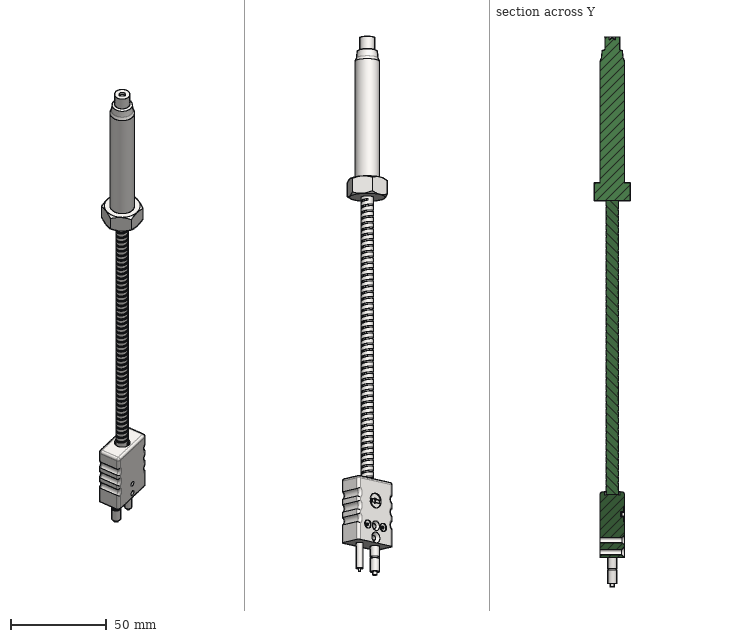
import cadquery as cq
import math

TOTAL_LENGTH = 287.7

TIP_DIA = 8.0
TIP_LENGTH = 6.5
TIP_BORE_DIA = 3.2
TIP_BORE_DEPTH = 1.5
TIP_CONE_HEIGHT = 1.2
COLLAR_TOP_DIA = 10.6
COLLAR_BOTTOM_DIA = 11.5
COLLAR_CHAMFER = 0.5
COLLAR_LENGTH = 3.7
SLEEVE_DIA = 13.0
SLEEVE_SHOULDER = 1.7
NUT_FLATS = 19.0
NUT_CORNERS = NUT_FLATS / math.cos(math.radians(30))
NUT_BOTTOM = 202.0
NUT_HEIGHT = 9.5
NUT_TOP = NUT_BOTTOM + NUT_HEIGHT
NUT_FACE_DIA = 18.7
NUT_CHAMFER = 1.2

PLUG_WIDTH = 25.3
PLUG_THICKNESS = 13.0
PLUG_BOTTOM = 15.2
PLUG_HEIGHT = 34.5
PLUG_TOP = PLUG_BOTTOM + PLUG_HEIGHT
PLUG_FILLET = 1.5
FACE_X = -PLUG_THICKNESS / 2
HOSE_SEAT_DIA = 8.0
HOSE_SEAT_DEPTH = 1.7

GRIP_COUNT = 3
GRIP_PITCH = 7.0
GRIP_FIRST_Z = 40.5
GRIP_HEIGHT = 4.0
GRIP_DEPTH = 1.2

SCREW_Z = 38.0
SCREW_DIA = 7.8
SCREW_RECESS = 0.5
SLOT_WIDTH = 1.7
SLOT_DEPTH = 1.0
SCREW_SOCKET_DIA = 2.5
SCREW_SOCKET_DEPTH = 1.5

HOLE_ROW_Z = 24.5
LOWER_HOLE_Z = 18.0
HOLE_DIA = 2.5
UPPER_SINK_DIA = 5.2
LOWER_SINK_DIA = 5.8
DIMPLE_DIA = 4.3
DIMPLE_DEPTH = 0.5
DIMPLE_CENTER_DIA = 1.5
DIMPLE_CENTER_DEPTH = 1.2

PIN_SPACING = 11.2
PIN_OFFSET = PIN_SPACING / 2
PIN_TIP_LENGTH = 1.7
SMALL_PIN_DIA = 3.7
SMALL_PIN_TIP_DIA = 1.2
LARGE_PIN_DIA = 5.0
LARGE_PIN_TIP_DIA = 2.3
PIN_RING_Z = 9.2
PIN_RING_WIDTH = 1.0
PIN_RING_DEPTH = 0.3

HOSE_DIA = 6.5
HOSE_BOTTOM = PLUG_TOP - HOSE_SEAT_DEPTH
HOSE_LENGTH = NUT_BOTTOM - HOSE_BOTTOM
HOSE_TURNS = 48.4
HOSE_PLAIN_END = 1.7
HOSE_GROOVE_WIDTH = 1.0
HOSE_GROOVE_DEPTH = 0.3


def turned(points):
    """Solid of revolution about Z from (radius, z) points, with its seam on the -X side."""
    outline = [(-radius, z) for radius, z in points]
    return cq.Workplane("XZ").polyline(outline).close().revolve(360, (0, 0), (0, 1))


def make_nut():
    hexagon = (
        cq.Workplane("XY", origin=(0, 0, NUT_BOTTOM))
        .transformed(rotate=(0, 0, 90))
        .polygon(6, NUT_CORNERS)
        .extrude(NUT_HEIGHT)
    )
    envelope = turned([
        (0, NUT_BOTTOM),
        (NUT_FACE_DIA / 2, NUT_BOTTOM),
        (NUT_CORNERS / 2, NUT_BOTTOM + NUT_CHAMFER),
        (NUT_CORNERS / 2, NUT_TOP - NUT_CHAMFER),
        (NUT_FACE_DIA / 2, NUT_TOP),
        (0, NUT_TOP),
    ])
    return hexagon.intersect(envelope)


def make_sleeve():
    tip_bottom = TOTAL_LENGTH - TIP_LENGTH
    collar_top = tip_bottom - COLLAR_CHAMFER
    collar_bottom = collar_top - COLLAR_LENGTH
    bore_floor = TOTAL_LENGTH - TIP_BORE_DEPTH
    return turned([
        (0, NUT_TOP),
        (SLEEVE_DIA / 2, NUT_TOP),
        (SLEEVE_DIA / 2, collar_bottom - SLEEVE_SHOULDER),
        (COLLAR_BOTTOM_DIA / 2, collar_bottom),
        (COLLAR_TOP_DIA / 2, collar_top),
        (TIP_DIA / 2, tip_bottom),
        (TIP_DIA / 2, TOTAL_LENGTH),
        (TIP_BORE_DIA / 2, TOTAL_LENGTH),
        (TIP_BORE_DIA / 2, bore_floor),
        (0, bore_floor + TIP_CONE_HEIGHT),
    ])


def make_probe():
    return make_nut().union(make_sleeve())


def make_hose():
    """Round hose with a right-handed helical groove that stops just short of both ends."""
    tube = cq.Workplane("XY", origin=(0, 0, HOSE_BOTTOM)).circle(HOSE_DIA / 2).extrude(HOSE_LENGTH)
    groove_start = HOSE_BOTTOM + HOSE_PLAIN_END
    groove_length = HOSE_LENGTH - 2 * HOSE_PLAIN_END
    pitch = groove_length / HOSE_TURNS
    path = cq.Wire.makeHelix(pitch, groove_length, HOSE_DIA / 2, cq.Vector(0, 0, groove_start))
    cutter = (
        cq.Workplane("XZ", origin=(HOSE_DIA / 2, 0, groove_start))
        .rect(2 * HOSE_GROOVE_DEPTH, HOSE_GROOVE_WIDTH)
        .sweep(cq.Workplane(path), isFrenet=True)
    )
    return tube.cut(cutter, clean=False)


def make_housing():
    """Plug block with finger grooves in both narrow sides; every outer edge but the lowest is rounded."""
    side = PLUG_WIDTH / 2
    floor = side - GRIP_DEPTH
    centers = [GRIP_FIRST_Z - index * GRIP_PITCH for index in range(GRIP_COUNT)]
    outline = cq.Workplane("YZ").moveTo(-side, PLUG_BOTTOM).lineTo(side, PLUG_BOTTOM)
    for z in reversed(centers):
        outline = outline.lineTo(side, z - GRIP_HEIGHT / 2)
        outline = outline.threePointArc((floor, z), (side, z + GRIP_HEIGHT / 2))
    outline = outline.lineTo(side, PLUG_TOP).lineTo(-side, PLUG_TOP)
    for z in centers:
        outline = outline.lineTo(-side, z + GRIP_HEIGHT / 2)
        outline = outline.threePointArc((-floor, z), (-side, z - GRIP_HEIGHT / 2))
    block = outline.close().extrude(PLUG_THICKNESS / 2, both=True)
    top_edges = block.edges(">Z")
    side_edges = block.faces("<X or >X").edges("not <Z")
    return block.newObject(top_edges.vals() + side_edges.vals()).fillet(PLUG_FILLET)


def face_plane(y, z):
    """Workplane on the -X face of the plug, facing into the plug."""
    return cq.Workplane("YZ", origin=(FACE_X, y, z))


def make_screw_recess():
    recess = face_plane(0, SCREW_Z).circle(SCREW_DIA / 2).extrude(SCREW_RECESS)
    slot = face_plane(0, SCREW_Z).rect(SCREW_DIA, SLOT_WIDTH).extrude(SCREW_RECESS + SLOT_DEPTH)
    slot = slot.intersect(face_plane(0, SCREW_Z).circle(SCREW_DIA / 2).extrude(PLUG_THICKNESS))
    socket = face_plane(0, SCREW_Z).circle(SCREW_SOCKET_DIA / 2).extrude(SCREW_RECESS + SCREW_SOCKET_DEPTH)
    return recess.union(slot).union(socket)


def make_countersunk_hole(z, sink_dia):
    hole = face_plane(0, z).circle(HOLE_DIA / 2).extrude(PLUG_THICKNESS)
    sink_depth = (sink_dia - HOLE_DIA) / 2
    sink = cq.Solid.makeCone(
        sink_dia / 2, HOLE_DIA / 2, sink_depth, cq.Vector(FACE_X, 0, z), cq.Vector(1, 0, 0)
    )
    return hole.union(cq.Workplane(sink))


def make_pin(y, pin_dia, tip_dia):
    pin = turned([
        (0, 0),
        (tip_dia / 2, 0),
        (tip_dia / 2, PIN_TIP_LENGTH),
        (pin_dia / 2, PIN_TIP_LENGTH),
        (pin_dia / 2, PLUG_BOTTOM),
        (0, PLUG_BOTTOM),
    ])
    return pin.translate((0, y, 0))


def make_pin_ring():
    return (
        cq.Workplane("XY", origin=(0, -PIN_OFFSET, PIN_RING_Z - PIN_RING_WIDTH / 2))
        .circle(LARGE_PIN_DIA / 2)
        .circle(LARGE_PIN_DIA / 2 - PIN_RING_DEPTH)
        .extrude(PIN_RING_WIDTH)
    )


def make_plug():
    seat = cq.Workplane("XY", origin=(0, 0, HOSE_BOTTOM)).circle(HOSE_SEAT_DIA / 2).extrude(HOSE_SEAT_DEPTH)
    plug = make_housing().cut(seat).cut(make_screw_recess())
    plug = plug.cut(make_countersunk_hole(HOLE_ROW_Z, UPPER_SINK_DIA))
    plug = plug.cut(make_countersunk_hole(LOWER_HOLE_Z, LOWER_SINK_DIA))
    for y in (-PIN_OFFSET, PIN_OFFSET):
        plug = plug.cut(face_plane(y, HOLE_ROW_Z).circle(DIMPLE_DIA / 2).extrude(DIMPLE_DEPTH))
        plug = plug.cut(face_plane(y, HOLE_ROW_Z).circle(DIMPLE_CENTER_DIA / 2).extrude(DIMPLE_CENTER_DEPTH))
    plug = plug.union(make_pin(PIN_OFFSET, SMALL_PIN_DIA, SMALL_PIN_TIP_DIA))
    plug = plug.union(make_pin(-PIN_OFFSET, LARGE_PIN_DIA, LARGE_PIN_TIP_DIA))
    return plug.cut(make_pin_ring())


probe = make_probe()
hose = make_hose()
plug = make_plug()

result = cq.Compound.makeCompound([probe.solids().val(), hose.solids().val(), plug.solids().val()])